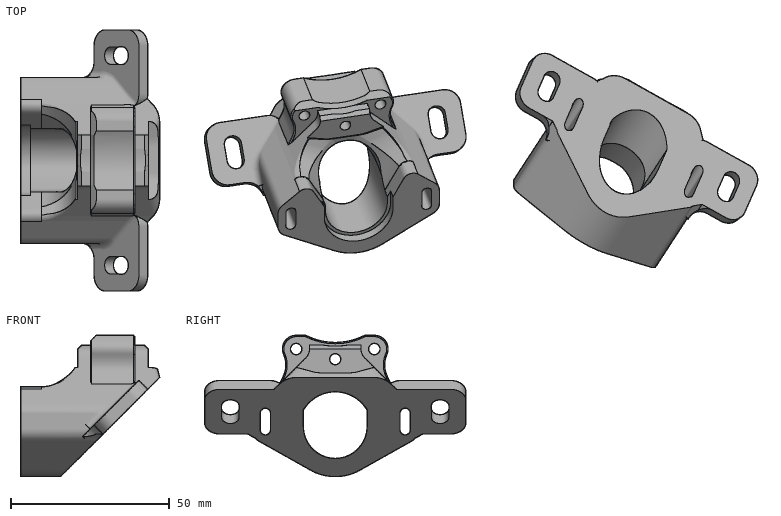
import cadquery as cq
import math

REACH = 60.0
TOLERANCE = 0.01

REAR_X = 28.3
TILT = math.radians(45)
END_X = 43.8

BOTTOM_R = 15.8
KEEL_ANGLE = math.radians(30)
SLOT_Y = 22.0
SLOT_LOW_Z = -1.0
SLOT_HIGH_Z = 4.15
SLOT_WIDTH = 3.2
SIDE_R = 4.15
SHOULDER_ANGLE = math.radians(39.5)
RIM_Y = 19.2
RIM_ANGLE = math.radians(42.5)
ROOF_Y = 17.6

BORE_R = 10.0
BORE_SIDE_Z = 5.2
BORE_TOP_Z = 10.9
SEAT_R = 11.1
SEAT_DEPTH = 3.1

TOWER_FRONT = 17.9
TOWER_REAR = 40.2
TOWER_TOP = 25.6
TOWER_HALF = 8.05
TOWER_FILLET = 4.2
TOWER_CHAMFER = 1.2
LEDGE_Z = 16.9
LEDGE_FLAT_Y = 4.35
LEDGE_BEND_Y = 7.1
LEDGE_TILT = math.radians(15)
TOWER_HOLE_Z = 21.2
TOWER_HOLE_D = 3.4

SADDLE_FRONT = 21.9
SADDLE_REAR = 35.95
EAR_Y = 12.3
EAR_Z = 24.4
EAR_R = 4.35
EAR_HOLE_D = 3.5
WAIST_R = 8.0
WAIST_ANGLE = math.radians(24)
SADDLE_FOOT_Z = 12.5
CRADLE_EDGE_Y = 9.3
CRADLE_BOTTOM_Z = 26.5
CRADLE_CHAMFER = 1.2
EAR_CHAMFER = 1.9
SADDLE_EDGE = 0.45

TAB_THICK = 4.0
TAB_WIDTH = 20.0
TAB_CENTRE = 6.6
TAB_END_Y = 41.14
TAB_INNER_Y = 15.9
TAB_R = 5.0
TAB_SLOT_Y = 33.0
TAB_SLOT_LONG = 10.5
TAB_SLOT_WIDE = 5.5
TAB_BODY_FILLET = 2.0
FLANGE_MARGIN = 0.3

RIDGE_R = 3.0
WALL_ANGLE = math.radians(62)
MOUTH_STRAIGHT = 6.5
SCOOP_R = 10.8
SCOOP_FILLET = 1.5
THROAT_GAP = 0.3
THROAT_MID_X = 12.4
THROAT_START_FOOT = (9.8, 2.0)
THROAT_MID = [(9.2, 6.0), (12.1, 11.6), (16.0, 14.0)]
THROAT_END = [(2.4, 13.6), (4.2, 16.8), (11.4, 19.0)]
FLARE_ANGLE = math.radians(30)
FLARE_PIVOT_X = 22.5
FLARE_PIVOT_Z = 1.1

END_TILT = math.radians(15)
END_R = 3.0

SIDE_Y = SLOT_Y + SIDE_R
SHOULDER_Y = SLOT_Y + SIDE_R * math.sin(SHOULDER_ANGLE)
SHOULDER_Z = SLOT_HIGH_Z + SIDE_R * math.cos(SHOULDER_ANGLE)
RIM_Z = SHOULDER_Z + (SHOULDER_Y - RIM_Y) * math.tan(SHOULDER_ANGLE)
ROOF_Z = RIM_Z + (RIM_Y - ROOF_Y) * math.tan(RIM_ANGLE)
RIDGE_Y = 17.27
RIDGE_DROP = RIDGE_R / math.cos(SHOULDER_ANGLE)
RIDGE_Z = SHOULDER_Z + (SHOULDER_Y - RIDGE_Y) * math.tan(SHOULDER_ANGLE) - RIDGE_DROP
RIDGE_TOP = RIDGE_Z + RIDGE_R


def polar(y, z, radius, angle):
    """Point at an angle measured from +Y towards +Z."""
    return (y + radius * math.cos(angle), z + radius * math.sin(angle))


def section(x=0.0):
    """Sketch plane across the part: local x is Y, local y is Z, extruding along +X."""
    return cq.Workplane("YZ", origin=(x, 0, 0))


def both_sides(shape):
    return shape.union(shape.mirror("XZ"))


def rear_plane(lift=0.0):
    """Sketch plane on the rear face: local x is -Y, local y runs up the slope, normal into the part."""
    normal = (-math.sin(TILT), 0, math.cos(TILT))
    origin = (REAR_X + lift * normal[0], 0, lift * normal[2])
    return cq.Workplane(cq.Plane(origin=origin, xDir=(0, -1, 0), normal=normal))


def body_half():
    keel = (BOTTOM_R * math.sin(KEEL_ANGLE), -BOTTOM_R * math.cos(KEEL_ANGLE))
    keel_mid = (BOTTOM_R * math.sin(KEEL_ANGLE / 2), -BOTTOM_R * math.cos(KEEL_ANGLE / 2))
    low_turn = math.pi / 2 - KEEL_ANGLE
    side_low = polar(SLOT_Y, SLOT_LOW_Z, SIDE_R, -low_turn)
    side_low_mid = polar(SLOT_Y, SLOT_LOW_Z, SIDE_R, -low_turn / 2)
    high_turn = math.pi / 2 - SHOULDER_ANGLE
    side_high_mid = polar(SLOT_Y, SLOT_HIGH_Z, SIDE_R, high_turn / 2)
    neck_y = TOWER_HALF + TOWER_FILLET * (1 - math.cos(TILT))
    neck_z = ROOF_Z + (ROOF_Y - neck_y)
    centre = (TOWER_HALF + TOWER_FILLET, neck_z + TOWER_FILLET * math.sin(TILT))
    neck_mid = polar(*centre, TOWER_FILLET, math.pi + TILT / 2)
    return (
        section()
        .moveTo(0, -BOTTOM_R)
        .threePointArc(keel_mid, keel)
        .lineTo(*side_low)
        .threePointArc(side_low_mid, (SIDE_Y, SLOT_LOW_Z))
        .lineTo(SIDE_Y, SLOT_HIGH_Z)
        .threePointArc(side_high_mid, (SHOULDER_Y, SHOULDER_Z))
        .lineTo(RIM_Y, RIM_Z)
        .lineTo(ROOF_Y, ROOF_Z)
        .lineTo(neck_y, neck_z)
        .threePointArc(neck_mid, (TOWER_HALF, centre[1]))
        .lineTo(TOWER_HALF, TOWER_TOP)
        .lineTo(0, TOWER_TOP)
        .close()
        .extrude(REACH)
    )


def behind_rear_plane():
    return rear_plane().rect(4 * REACH, 4 * REACH).extrude(-REACH)


def end_trim():
    """Material behind the leaning rear end."""
    plane = cq.Plane(
        origin=(END_X, 0, END_X - REAR_X),
        xDir=(math.cos(END_TILT), 0, math.sin(END_TILT)),
        normal=(-math.sin(END_TILT), 0, math.cos(END_TILT)),
    )
    half_space = cq.Workplane(plane).rect(2 * REACH, 2 * REACH).extrude(REACH, both=True)
    return half_space.translate((REACH * math.cos(END_TILT), 0, REACH * math.sin(END_TILT)))


def end_corner_edges(body):
    """Edges where the leaning rear end meets the sloping roof on either side."""
    lean = math.tan(END_TILT)
    edges = []
    for edge in body.edges("not |Y").vals():
        start = edge.startPoint()
        finish = edge.endPoint()
        on_end = all(abs(p.x - END_X + (p.z - END_X + REAR_X) * lean) < TOLERANCE for p in (start, finish))
        if on_end and min(abs(start.y), abs(finish.y)) > LEDGE_BEND_Y + TOLERANCE:
            edges.append(edge)
    return edges


def below_keel_flank():
    """Space under the sloping keel flank on the -Y side, then level with the tab's lowest edge."""
    blend_y = SIDE_Y + TAB_R
    slope = math.tan(KEEL_ANGLE)
    drop = BOTTOM_R / math.cos(KEEL_ANGLE)
    edge_z = (TAB_CENTRE - TAB_WIDTH / 2) * math.sin(TILT)
    edge_y = (edge_z + drop) / slope
    return (
        section()
        .polyline([(0, -drop), (-edge_y, edge_z), (-blend_y, edge_z), (-blend_y, -drop)])
        .close()
        .extrude(REACH)
    )


def tab(height):
    """Ear on the -Y side, blended into the body side with a concave corner below."""
    low = TAB_CENTRE - TAB_WIDTH / 2
    high = TAB_CENTRE + TAB_WIDTH / 2
    turn = TAB_R * (1 - math.sin(TILT))
    blend_mid = (SIDE_Y + turn, low - turn)
    plate = (
        rear_plane()
        .moveTo(TAB_INNER_Y, low - TAB_R)
        .lineTo(SIDE_Y, low - TAB_R)
        .threePointArc(blend_mid, (SIDE_Y + TAB_R, low))
        .lineTo(TAB_END_Y - TAB_R, low)
        .threePointArc((TAB_END_Y - turn, low + turn), (TAB_END_Y, low + TAB_R))
        .lineTo(TAB_END_Y, high - TAB_R)
        .threePointArc((TAB_END_Y - turn, high - turn), (TAB_END_Y - TAB_R, high))
        .lineTo(TAB_INNER_Y + TAB_R, high)
        .threePointArc((TAB_INNER_Y + turn, high - turn), (TAB_INNER_Y, high - TAB_R))
        .close()
        .extrude(height)
    )
    return plate.cut(below_keel_flank())


def flange_edges(flanged):
    """Edges where the upper face of the flange meets the body sides, shoulders and roof."""
    offset = REAR_X - TAB_THICK / math.sin(TILT)
    edges = []
    for edge in flanged.edges().vals():
        middle = edge.Center()
        on_upper_face = abs(middle.x - middle.z - offset) < TOLERANCE
        if on_upper_face and TAB_INNER_Y < abs(middle.y) < SIDE_Y + TOLERANCE:
            edges.append(edge)
    return edges


def body_with_tabs():
    """Body filleted into a wide flange, of which only the tabs are kept."""
    body = both_sides(body_half()).cut(tower_relief())
    body = body.cut(behind_rear_plane()).cut(end_trim())
    body = body.newObject(end_corner_edges(body)).fillet(END_R)
    flange_low = (SLOT_LOW_Z - TAB_THICK * math.sin(TILT)) / math.sin(TILT) + FLANGE_MARGIN
    flange_high = TAB_CENTRE + TAB_WIDTH / 2
    flange = (
        rear_plane()
        .center(0, (flange_low + flange_high) / 2)
        .rect(2 * TAB_END_Y, flange_high - flange_low)
        .extrude(TAB_THICK)
    )
    flanged = body.union(flange)
    flanged = flanged.newObject(flange_edges(flanged)).fillet(TAB_BODY_FILLET)
    fillets = flanged.intersect(both_sides(tab(TAB_THICK + TAB_BODY_FILLET)))
    return body.union(both_sides(tab(TAB_THICK))).union(fillets)


def saddle_half():
    ear_end = polar(EAR_Y, EAR_Z, EAR_R, -WAIST_ANGLE)
    waist = polar(EAR_Y, EAR_Z, EAR_R + WAIST_R, -WAIST_ANGLE)
    waist_mid = (waist[0] - WAIST_R, waist[1])
    waist_end = polar(*waist, WAIST_R, math.pi + WAIST_ANGLE)
    foot_y = waist_end[0] + (waist_end[1] - SADDLE_FOOT_Z) * math.tan(WAIST_ANGLE)
    top = EAR_Z + EAR_R
    return (
        section(SADDLE_FRONT)
        .moveTo(0, SADDLE_FOOT_Z)
        .lineTo(foot_y, SADDLE_FOOT_Z)
        .lineTo(*waist_end)
        .threePointArc(waist_mid, ear_end)
        .threePointArc(polar(EAR_Y, EAR_Z, EAR_R, math.pi / 4), (EAR_Y, top))
        .lineTo(0, top)
        .close()
        .extrude(SADDLE_REAR - SADDLE_FRONT)
    )


def saddle():
    """Two-eared block with chamfered outlines and a larger chamfer along the front of its top."""
    shape = both_sides(saddle_half()).clean()
    shape = shape.faces(">X").chamfer(SADDLE_EDGE)
    shape = shape.faces("<X").edges("not(>Z or <Z)").chamfer(SADDLE_EDGE)
    top = EAR_Z + EAR_R
    corner = (
        cq.Workplane("XZ")
        .polyline([
            (SADDLE_FRONT, top),
            (SADDLE_FRONT, top - EAR_CHAMFER),
            (SADDLE_FRONT + EAR_CHAMFER, top),
        ])
        .close()
        .extrude(REACH, both=True)
    )
    return shape.cut(corner)


def cradle():
    """Shallow round channel over the saddle, wider before and behind it, with chamfered rims."""
    rise = EAR_Z + EAR_R - CRADLE_BOTTOM_Z
    radius = (CRADLE_EDGE_Y ** 2 + rise ** 2) / (2 * rise)
    wide = radius + CRADLE_CHAMFER
    axis_z = CRADLE_BOTTOM_Z + radius
    rim_end = SADDLE_FRONT + CRADLE_CHAMFER
    return (
        cq.Workplane("XZ")
        .polyline([
            (0, axis_z),
            (0, axis_z - wide),
            (SADDLE_FRONT, axis_z - wide),
            (rim_end, axis_z - radius),
            (SADDLE_REAR - SADDLE_EDGE, axis_z - radius),
            (SADDLE_REAR, axis_z - radius - SADDLE_EDGE),
            (SADDLE_REAR, axis_z - wide),
            (REACH, axis_z - wide),
            (REACH, axis_z),
        ])
        .close()
        .revolve(360, (0, axis_z, 0), (1, axis_z, 0))
    )


def above_ledge_half():
    """Space above a ledge: flat in the middle, then curving up into a gentle outward slope."""
    bend_r = (LEDGE_BEND_Y - LEDGE_FLAT_Y) / math.sin(LEDGE_TILT)
    bend_mid = polar(LEDGE_FLAT_Y, LEDGE_Z + bend_r, bend_r, -math.pi / 2 + LEDGE_TILT / 2)
    bend_end = polar(LEDGE_FLAT_Y, LEDGE_Z + bend_r, bend_r, -math.pi / 2 + LEDGE_TILT)
    out_z = bend_end[1] + (SIDE_Y - LEDGE_BEND_Y) * math.tan(LEDGE_TILT)
    return (
        section()
        .moveTo(0, LEDGE_Z)
        .lineTo(LEDGE_FLAT_Y, LEDGE_Z)
        .threePointArc(bend_mid, bend_end)
        .lineTo(SIDE_Y, out_z)
        .lineTo(SIDE_Y, REACH)
        .lineTo(0, REACH)
        .close()
        .extrude(REACH)
    )


def tower_relief():
    """Space before and behind the tower, above the ledges, including the tower's top chamfers."""
    shoulder = TOWER_TOP - TOWER_CHAMFER
    tower = (
        cq.Workplane("XZ")
        .polyline([
            (TOWER_FRONT, 0),
            (TOWER_FRONT, shoulder),
            (TOWER_FRONT + TOWER_CHAMFER, TOWER_TOP),
            (TOWER_REAR - TOWER_CHAMFER, TOWER_TOP),
            (TOWER_REAR, shoulder),
            (TOWER_REAR, 0),
        ])
        .close()
        .extrude(REACH, both=True)
    )
    return both_sides(above_ledge_half()).cut(tower)


def scoop():
    """Concave sweep, across the full width, from the ridge tops up to the front ledge."""
    axis_z = RIDGE_TOP + SCOOP_R
    drum = (
        cq.Workplane("XZ", origin=(MOUTH_STRAIGHT, 0, axis_z))
        .circle(SCOOP_R)
        .extrude(REACH, both=True)
    )
    lead_in = cq.Workplane("XY").box(
        MOUTH_STRAIGHT + 1, 2 * REACH, REACH, centered=(False, True, False)
    ).translate((-1, 0, RIDGE_TOP))
    return drum.union(lead_in)


def scooped(body):
    """Body with the scoop cut, and its curved rims rounded off."""
    cut = body.cut(scoop())
    rims = [
        edge
        for edge in cut.edges().vals()
        if edge.geomType() not in ("LINE", "CIRCLE")
        and MOUTH_STRAIGHT < edge.Center().x < TOWER_FRONT
        and edge.Center().z > RIDGE_TOP
    ]
    return cut.newObject(rims).fillet(SCOOP_FILLET)


def mouth_front():
    """Straight part of the mouth, with sloping walls and rounded ridge tops."""
    wall_top = polar(RIDGE_Y, RIDGE_Z, RIDGE_R, math.pi / 2 + WALL_ANGLE)
    arc_mid = polar(RIDGE_Y, RIDGE_Z, RIDGE_R, math.pi / 2 + WALL_ANGLE / 4)
    arc_end = polar(RIDGE_Y, RIDGE_Z, RIDGE_R, math.pi / 2 - SHOULDER_ANGLE)
    wall_foot = (wall_top[0] - wall_top[1] / math.tan(WALL_ANGLE), 0)
    half = (
        section()
        .moveTo(0, 0)
        .lineTo(*wall_foot)
        .lineTo(*wall_top)
        .threePointArc(arc_mid, arc_end)
        .lineTo(arc_end[0], TOWER_TOP)
        .lineTo(0, TOWER_TOP)
        .close()
        .extrude(MOUTH_STRAIGHT)
    )
    return both_sides(half)


def mouth_throat():
    """Mouth narrowing and climbing from the straight walls towards the tower face."""
    wall_top = polar(RIDGE_Y, RIDGE_Z, RIDGE_R, math.pi / 2 + WALL_ANGLE)
    stations = [
        (MOUTH_STRAIGHT, [THROAT_START_FOOT, wall_top, (RIDGE_Y, RIDGE_TOP)]),
        (THROAT_MID_X, THROAT_MID),
        (TOWER_FRONT - THROAT_GAP, THROAT_END),
    ]
    wires = []
    for x, corners in stations:
        brow_y = corners[-1][0]
        right = corners + [(brow_y, TOWER_TOP)]
        left = [(-y, z) for y, z in reversed(right)]
        wires.append(section(x).polyline(right + left).close().val())
    return cq.Workplane(cq.Solid.makeLoft(wires))


def bore(radius, length):
    """Passage with a round floor, straight sides and a flatter arched roof."""
    roof_z = BORE_TOP_Z + radius - BORE_R
    return (
        section()
        .moveTo(-radius, BORE_SIDE_Z)
        .lineTo(-radius, 0)
        .threePointArc((0, -radius), (radius, 0))
        .lineTo(radius, BORE_SIDE_Z)
        .threePointArc((0, roof_z), (-radius, BORE_SIDE_Z))
        .close()
        .extrude(length)
    )


def flare():
    """Round passage climbing forward out of the bore roof."""
    axis = cq.Vector(-math.cos(FLARE_ANGLE), 0, math.sin(FLARE_ANGLE))
    pivot = cq.Vector(FLARE_PIVOT_X, 0, FLARE_PIVOT_Z)
    length = (FLARE_PIVOT_X - MOUTH_STRAIGHT) / math.cos(FLARE_ANGLE)
    return cq.Workplane(cq.Solid.makeCylinder(BORE_R, length, pivot, axis))


def slots_and_holes():
    long_z = SLOT_HIGH_Z - SLOT_LOW_Z
    side = (
        section(-1)
        .pushPoints([(y, (SLOT_HIGH_Z + SLOT_LOW_Z) / 2) for y in (-SLOT_Y, SLOT_Y)])
        .slot2D(long_z + SLOT_WIDTH, SLOT_WIDTH, 90)
        .extrude(REACH)
    )
    tabs = (
        rear_plane(-1)
        .pushPoints([(y, TAB_CENTRE) for y in (-TAB_SLOT_Y, TAB_SLOT_Y)])
        .slot2D(TAB_SLOT_LONG, TAB_SLOT_WIDE, 90)
        .extrude(TAB_THICK + 2)
    )
    ears = section().pushPoints([(-EAR_Y, EAR_Z), (EAR_Y, EAR_Z)]).circle(EAR_HOLE_D / 2).extrude(REACH)
    tower = section().center(0, TOWER_HOLE_Z).circle(TOWER_HOLE_D / 2).extrude(REACH)
    return side.union(tabs).union(ears).union(tower)


body = body_with_tabs()
result = scooped(body)
result = result.union(saddle()).cut(cradle())
result = result.cut(mouth_front()).cut(mouth_throat()).cut(flare())
result = result.cut(bore(BORE_R, REACH)).cut(bore(SEAT_R, SEAT_DEPTH))
result = result.cut(slots_and_holes())